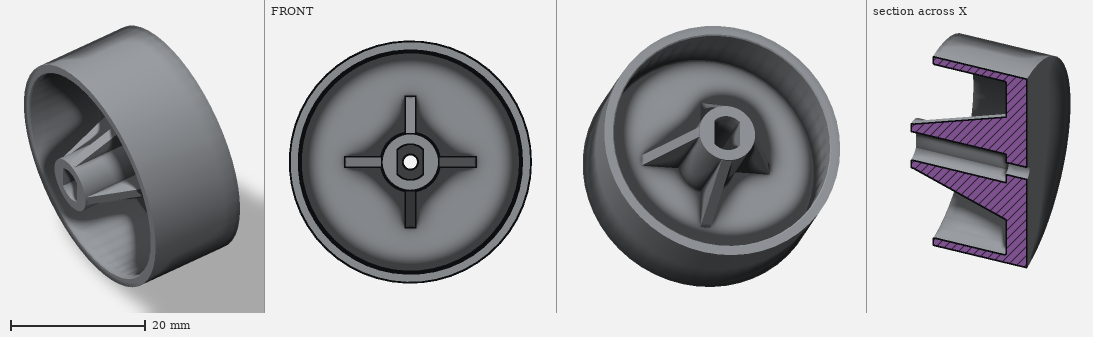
import cadquery as cq

outer_diameter = 36.0
rim_width = 15.0
hub_overhang = 3.5
web_thickness = 3.4

bore_radius = 16.5
hub_radius = 4.25
edge_bevel = 0.18

rib_thickness = 1.55
rib_base_radius = 9.8
rib_tip_gap = 0.4
rib_count = 4

shaft_diameter = 5.33
shaft_across_flats = 3.9
screw_hole_diameter = 2.25

web_depth = rim_width - web_thickness
hub_length = web_depth + hub_overhang
overall_length = rim_width + hub_overhang


def plane_at(depth):
    """Plane normal to the axis, facing +Y, at a depth behind the open rim."""
    return cq.Workplane(cq.Plane(origin=(0, depth, 0), xDir=(1, 0, 0), normal=(0, 1, 0)))


def make_shell():
    """Rim, web and hub as one revolved profile (radius, axis)."""
    profile = [
        (0, rim_width),
        (outer_diameter / 2, rim_width),
        (outer_diameter / 2, 0),
        (bore_radius + edge_bevel, 0),
        (bore_radius, edge_bevel),
        (bore_radius, web_depth - edge_bevel),
        (bore_radius - edge_bevel, web_depth),
        (hub_radius + edge_bevel, web_depth),
        (hub_radius, web_depth - edge_bevel),
        (hub_radius, -hub_overhang),
        (0, -hub_overhang),
    ]
    return cq.Workplane("XY").polyline(profile).close().revolve(360, (0, 0, 0), (0, 1, 0))


def make_rib():
    """Gusset between web and hub, tapering to the hub surface near its tip."""
    profile = [
        (0, web_depth),
        (rib_base_radius, web_depth),
        (hub_radius, rib_tip_gap - hub_overhang),
        (0, rib_tip_gap - hub_overhang),
    ]
    return cq.Workplane("XY").polyline(profile).close().extrude(rib_thickness / 2, both=True)


def make_shaft_socket():
    """Round socket with two flats facing +X and -X, as deep as the hub."""
    start = plane_at(-hub_overhang)
    round_socket = start.circle(shaft_diameter / 2).extrude(hub_length)
    flats = start.rect(shaft_across_flats, shaft_diameter).extrude(hub_length)
    return round_socket.intersect(flats)


result = make_shell()
for index in range(rib_count):
    angle = index * 360 / rib_count
    result = result.union(make_rib().rotate((0, 0, 0), (0, 1, 0), angle))

result = result.cut(make_shaft_socket())
screw_hole = plane_at(-hub_overhang).circle(screw_hole_diameter / 2).extrude(overall_length)
result = result.cut(screw_hole)